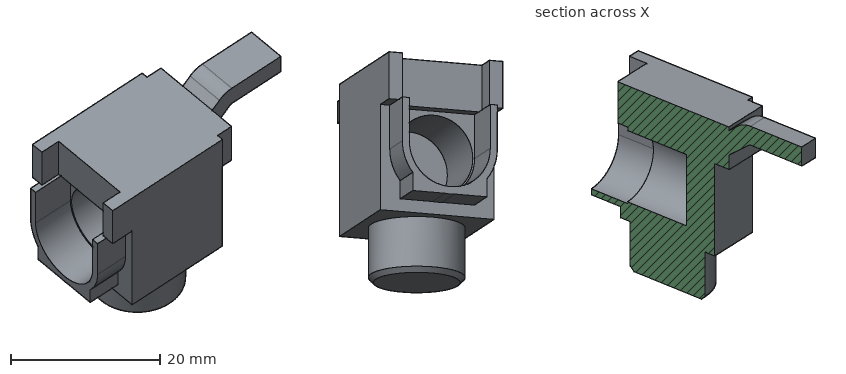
import cadquery as cq
import math

body_width = 16.2
body_height = 21.0
body_front = 5.0
body_back = 21.18

lip_front = 1.52
lip_bottom = 14.5
notch_width = 12.38
notch_back = 4.52

axis_z = 8.47
cup_outer_radius = 6.77
cup_inner_radius = 5.75
channel_depth = 6.23
bore_diameter = 11.0
bore_depth = 16.3
foot_width = 10.57
foot_bottom = 1.75

spigot_diameter = 13.0
spigot_length = 7.53
spigot_y = 13.1
spigot_chamfer = 0.7

block_width = 14.25
block_height = 6.65
block_back = 23.67
arm_width = 5.95
arm_thickness = 3.0
arm_top = 22.48
arm_end = 36.2
arm_bend_y = 27.4
arm_outer_bend_radius = 3.5
arm_slope = math.radians(39.2)
arm_embed = 0.35


def centred_box(width, y_start, y_end, z_start, z_end):
    """Box symmetric about the X = 0 plane."""
    box = cq.Workplane("XY").box(width, y_end - y_start, z_end - z_start, centered=(True, False, False))
    return box.translate((0, y_start, z_start))


def u_prism(radius, length):
    """U-shaped prism running back from the cup mouth, flat at the lip underside."""
    return (
        cq.Workplane("XZ")
        .moveTo(-radius, lip_bottom)
        .lineTo(-radius, axis_z)
        .threePointArc((0, axis_z - radius), (radius, axis_z))
        .lineTo(radius, lip_bottom)
        .close()
        .extrude(-length)
    )


def make_housing():
    housing = centred_box(body_width, body_front, body_back, 0, body_height)
    lip = centred_box(body_width, lip_front, body_front, lip_bottom, body_height)
    notch = centred_box(notch_width, lip_front, notch_back, lip_bottom, body_height)
    block = centred_box(block_width, body_back, block_back, body_height - block_height, body_height)
    return housing.union(lip.cut(notch)).union(block)


def make_cup():
    foot = centred_box(foot_width, 0, body_front, foot_bottom, axis_z)
    return u_prism(cup_outer_radius, body_front).union(foot)


def make_cable_bore():
    bore = cq.Workplane("XZ").center(0, axis_z).circle(bore_diameter / 2).extrude(-bore_depth)
    return u_prism(cup_inner_radius, channel_depth).union(bore)


def make_spigot():
    spigot = cq.Workplane("XY").center(0, spigot_y).circle(spigot_diameter / 2).extrude(-spigot_length)
    return spigot.faces("<Z").chamfer(spigot_chamfer)


def make_arm():
    inner_bend_radius = arm_outer_bend_radius - arm_thickness
    bend_z = arm_top - arm_outer_bend_radius
    root_y = block_back - arm_embed

    def bend_point(radius, angle):
        """Point on a bend of the given radius, turned from vertical about the bend centre."""
        return (arm_bend_y - radius * math.sin(angle), bend_z + radius * math.cos(angle))

    def root_point(radius):
        """Point where the slope leaving a bend of the given radius enters the rear block."""
        slope_y, slope_z = bend_point(radius, arm_slope)
        return (root_y, slope_z - (slope_y - root_y) * math.tan(arm_slope))

    return (
        cq.Workplane("YZ")
        .moveTo(arm_end, arm_top - arm_thickness)
        .lineTo(arm_end, arm_top)
        .lineTo(arm_bend_y, arm_top)
        .threePointArc(
            bend_point(arm_outer_bend_radius, arm_slope / 2),
            bend_point(arm_outer_bend_radius, arm_slope),
        )
        .lineTo(*root_point(arm_outer_bend_radius))
        .lineTo(*root_point(inner_bend_radius))
        .lineTo(*bend_point(inner_bend_radius, arm_slope))
        .threePointArc(bend_point(inner_bend_radius, arm_slope / 2), bend_point(inner_bend_radius, 0))
        .close()
        .extrude(arm_width / 2, both=True)
    )


result = make_housing().union(make_cup()).cut(make_cable_bore()).union(make_spigot()).union(make_arm())